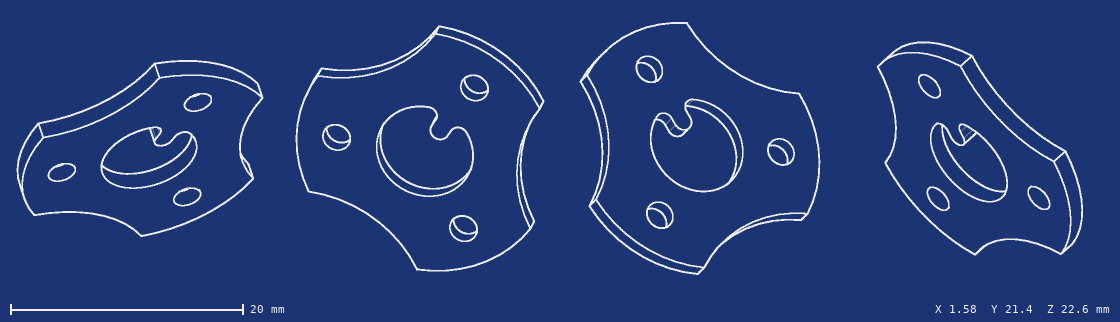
import cadquery as cq
import math

thickness = 1.58
outer_radius = 11.3
lobe_count = 3
lobe_pitch = 360 / lobe_count
first_lobe_angle = 55.9
lobe_half_angle = 29.4
scallop_floor_radius = 8.15

bolt_hole_diameter = 2.4
bolt_circle_radius = 7.78

bore_radius = 4.25
tab_angle = 58.0
tab_tip_radius = 0.81
tab_tip_distance = 2.44
tab_root_radius = 0.77


def polar(radius, angle):
    """Point in the plate plane at an angle in degrees."""
    return (radius * math.cos(math.radians(angle)), radius * math.sin(math.radians(angle)))


def make_plate():
    """Lobes on the outer circle, joined by inward scallop arcs."""
    outline = cq.Workplane("YZ").moveTo(*polar(outer_radius, first_lobe_angle - lobe_half_angle))
    for index in range(lobe_count):
        lobe_angle = first_lobe_angle + index * lobe_pitch
        next_lobe_start = lobe_angle + lobe_pitch - lobe_half_angle
        outline = outline.threePointArc(
            polar(outer_radius, lobe_angle),
            polar(outer_radius, lobe_angle + lobe_half_angle),
        ).threePointArc(
            polar(scallop_floor_radius, lobe_angle + lobe_pitch / 2),
            polar(outer_radius, next_lobe_start),
        )
    return outline.close().extrude(thickness)


def make_bolt_holes():
    centres = [
        polar(bolt_circle_radius, first_lobe_angle + index * lobe_pitch)
        for index in range(lobe_count)
    ]
    return cq.Workplane("YZ").pushPoints(centres).circle(bolt_hole_diameter / 2).extrude(thickness)


def make_bore():
    """Bore opening around the tab, drawn with the tab on the local x axis."""
    root_centre_radius = bore_radius - tab_root_radius
    root_centre_y = tab_tip_radius + tab_root_radius
    root_angle = math.degrees(math.asin(root_centre_y / root_centre_radius))
    root_centre_x = polar(root_centre_radius, root_angle)[0]
    bore_end_x, bore_end_y = polar(bore_radius, root_angle)

    middle_x, middle_y = polar(tab_root_radius, (root_angle - 90) / 2)
    root_middle_x = root_centre_x + middle_x
    root_middle_y = root_centre_y + middle_y
    opening = (
        cq.Workplane("YZ")
        .moveTo(bore_end_x, bore_end_y)
        .threePointArc((-bore_radius, 0), (bore_end_x, -bore_end_y))
        .threePointArc((root_middle_x, -root_middle_y), (root_centre_x, -tab_tip_radius))
        .lineTo(tab_tip_distance, -tab_tip_radius)
        .threePointArc((tab_tip_distance - tab_tip_radius, 0), (tab_tip_distance, tab_tip_radius))
        .lineTo(root_centre_x, tab_tip_radius)
        .threePointArc((root_middle_x, root_middle_y), (bore_end_x, bore_end_y))
        .close()
        .extrude(thickness)
    )
    return opening.rotate((0, 0, 0), (1, 0, 0), tab_angle)


result = make_plate().cut(make_bolt_holes()).cut(make_bore())